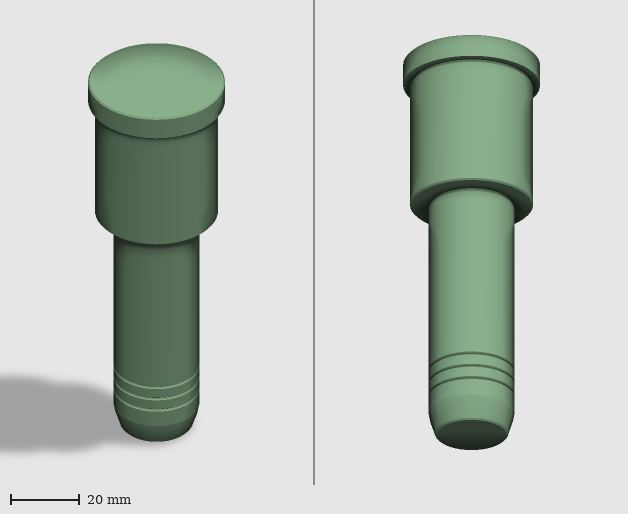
import cadquery as cq

length = 120.0
head_diameter = 40.0
body_diameter = 36.0
shaft_diameter = 25.1
head_radius = head_diameter / 2
body_radius = body_diameter / 2
shaft_radius = shaft_diameter / 2

head_height = 7.0
body_height = 39.0
head_bottom = length - head_height
body_bottom = head_bottom - body_height

edge_chamfer = 0.5
relief_height = 1.1
relief_depth = 0.5

nose_height = 7.1
nose_tip_radius = 10.7
nose_bulge = 0.2
tip_chamfer = 0.5

groove_count = 3
groove_width = 1.0
groove_depth = 0.6
groove_pitch = 4.0
lowest_groove_bottom = 12.1


def cylinder(radius, bottom, top):
    """Solid cylinder on the Z axis between two heights."""
    return cq.Workplane("XY").workplane(offset=bottom).circle(radius).extrude(top - bottom)


def ring_groove(outer_radius, bottom):
    """Ring of V section to cut from a cylinder of the given radius."""
    return (
        cq.Workplane("XZ")
        .moveTo(outer_radius, bottom)
        .lineTo(outer_radius - groove_depth, bottom + groove_width / 2)
        .lineTo(outer_radius, bottom + groove_width)
        .close()
        .revolve(360, (0, 0, 0), (0, 1, 0))
    )


def relief_neck(outer_radius, shoulder):
    """Relief below a shoulder, with a sloped run-out to the full radius."""
    inner_radius = outer_radius - relief_depth
    run_out_top = shoulder - relief_height + relief_depth
    return (
        cq.Workplane("XZ")
        .moveTo(inner_radius, shoulder)
        .lineTo(outer_radius, shoulder)
        .lineTo(outer_radius, shoulder - relief_height)
        .lineTo(inner_radius, run_out_top)
        .close()
        .revolve(360, (0, 0, 0), (0, 1, 0))
    )


def nose():
    """Convex tapered nose with a chamfered tip."""
    middle_radius = (shaft_radius + nose_tip_radius) / 2 + nose_bulge
    middle_height = (nose_height + tip_chamfer) / 2
    return (
        cq.Workplane("XZ")
        .lineTo(nose_tip_radius - tip_chamfer, 0)
        .lineTo(nose_tip_radius, tip_chamfer)
        .threePointArc((middle_radius, middle_height), (shaft_radius, nose_height))
        .lineTo(0, nose_height)
        .close()
        .revolve(360, (0, 0, 0), (0, 1, 0))
    )


head = cylinder(head_radius, head_bottom, length).faces(">Z").edges().chamfer(edge_chamfer)
body = cylinder(body_radius, body_bottom, head_bottom).faces("<Z").edges().chamfer(edge_chamfer)
shaft = cylinder(shaft_radius, nose_height, body_bottom)

body = body.cut(relief_neck(body_radius, head_bottom))
shaft = shaft.cut(relief_neck(shaft_radius, body_bottom))

for index in range(groove_count):
    groove_bottom = lowest_groove_bottom + index * groove_pitch
    shaft = shaft.cut(ring_groove(shaft_radius, groove_bottom))

result = head.union(body).union(shaft).union(nose())